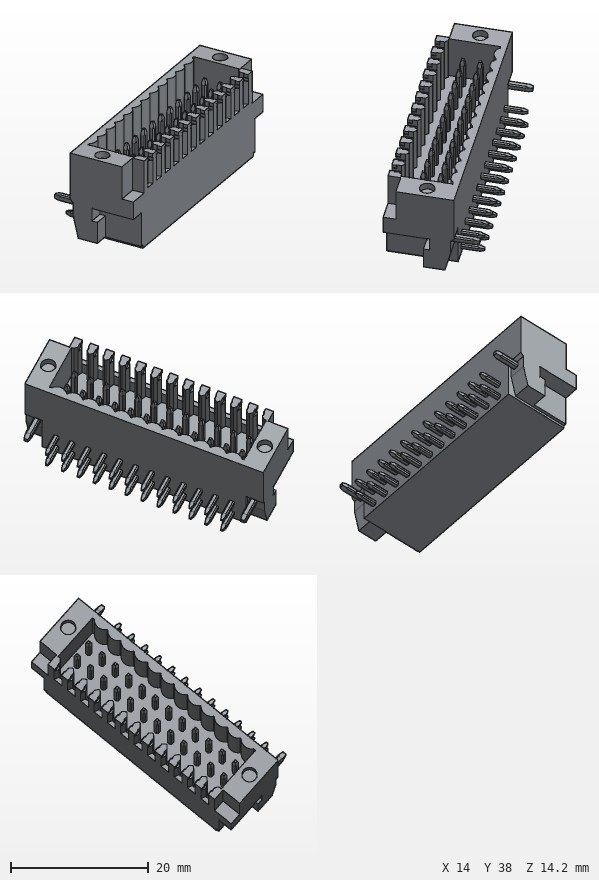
import cadquery as cq


length = 38.05
body_depth = 10.55
height = 14.2
half_length = length / 2
core_half = 16.25

columns = 12
column_span = 27.95
pitch = column_span / (columns - 1)
upper_row_z = 3.75
lower_row_z = upper_row_z - pitch
cavity_row_x = (3.65, 6.25)
pin_width = 0.85
pin_bevel = 0.2
pin_tip_width = 0.35
tip_length = 1.0
pin_reach = 3.45
cavity_pin_top = 12.05
pin_embed = 0.38

fixing_y = 17.27
post_z = 5.48
post_width = 1.0
post_tip_width = 0.57
hole_x = 4.37
hole_diameter = 2.2
hole_depth = 1.1

flange_bottom = 0.5
flange_relief = 0.5
relief_top = 6.58
relief_slope_top = 3.95
relief_foot_x = 1.35
undercut_x = 3.6
undercut_top = 6.0
undercut_half = 16.65
leg_x = 4.53
leg_top = relief_slope_top

notch_x = 8.65
notch_bottom = 8.9
notch_half = 15.85

cavity_floor = 7.1
cavity_half = 15.52
cavity_x_min = 1.0
cavity_x_max = 8.67
scallop_half = 1.18
scallop_rise = 0.57

slot_width = 1.5
slot_half = slot_width / 2
slot_bevel = 0.4
slot_inner_x = cavity_x_max + slot_bevel
sill_x = 9.8
sill_top = 9.32
rib_top = height - 1.15
rib_rise = 0.35
lip_rise = 0.1
lip_bottom = height - 0.6

column_y = [(i - (columns - 1) / 2) * pitch for i in range(columns)]


def box(x0, x1, y0, y1, z0, z1):
    """Axis-aligned box between two corners."""
    return cq.Workplane("XY").box(x1 - x0, y1 - y0, z1 - z0, centered=False).translate((x0, y0, z0))


def prism(points, z0, z1):
    """Vertical prism over a closed outline in X and Y."""
    return cq.Workplane("XY").workplane(offset=z0).polyline(points).close().extrude(z1 - z0)


def make_pin(width, tip_width, pin_length):
    """Square pin along +Z with bevelled long edges and a four-sided tapered tip."""
    shank_length = pin_length - tip_length
    shank = cq.Workplane("XY").rect(width, width).extrude(shank_length)
    tip = (
        cq.Workplane("XY").workplane(offset=shank_length).rect(width, width)
        .workplane(offset=tip_length).rect(tip_width, tip_width).loft(ruled=True)
    )
    bevelled = cq.Workplane("XY").rect(width, width).extrude(pin_length).edges("|Z").chamfer(pin_bevel)
    return shank.union(tip).intersect(bevelled)


def make_flange():
    """+Y end flange: set back from the board face and undercut on the +X side."""
    outline = [
        (0, height),
        (0, relief_top),
        (flange_relief, relief_top - flange_relief),
        (flange_relief, relief_slope_top),
        (relief_foot_x, flange_bottom),
        (leg_x, flange_bottom),
        (leg_x, leg_top),
        (undercut_x, leg_top),
        (undercut_x, undercut_top),
        (body_depth, undercut_top),
        (body_depth, height),
    ]
    flange = cq.Workplane("XZ").polyline(outline).close().extrude(core_half - half_length)
    return flange.translate((0, core_half, 0))


def make_housing():
    """Middle block with a flange, a notched corner and a blind hole at each end."""
    body = box(0, body_depth, -core_half, core_half, 0, height)
    undercut_wall = box(undercut_x, body_depth, -undercut_half, undercut_half, flange_bottom, undercut_top)
    body = body.union(undercut_wall)
    flange = make_flange()
    corner = box(notch_x, body_depth, notch_half, half_length, notch_bottom, height)
    hole = (
        cq.Workplane("XY").circle(hole_diameter / 2).extrude(hole_depth)
        .translate((hole_x, fixing_y, height - hole_depth))
    )
    body = body.union(flange).union(flange.mirror("XZ"))
    body = body.cut(corner).cut(corner.mirror("XZ"))
    body = body.cut(hole).cut(hole.mirror("XZ"))
    return body


def make_cavity():
    """Rectangular well whose -X wall bulges inward beside every contact column."""
    well = cq.Workplane("XY").workplane(offset=cavity_floor).moveTo(cavity_x_min, -cavity_half)
    for y in column_y:
        well = well.lineTo(cavity_x_min, y - scallop_half)
        well = well.threePointArc((cavity_x_min + scallop_rise, y), (cavity_x_min, y + scallop_half))
    well = well.lineTo(cavity_x_min, cavity_half).lineTo(cavity_x_max, cavity_half)
    return well.lineTo(cavity_x_max, -cavity_half).close().extrude(height - cavity_floor)


def make_slot():
    """Void of one keying slot, centred on Y = 0: wide at the top, waisted below rib_top."""
    mouth_half = slot_half + slot_bevel
    waist_half = slot_half - rib_rise
    lip_half = slot_half - lip_rise

    upper = prism(
        [
            (cavity_x_max, -mouth_half), (slot_inner_x, -slot_half), (body_depth, -slot_half),
            (body_depth, slot_half), (slot_inner_x, slot_half), (cavity_x_max, mouth_half),
        ],
        rib_top, height,
    )
    for side in (-1, 1):
        y_low, y_high = sorted((side * lip_half, side * slot_half))
        upper = upper.cut(box(sill_x, body_depth, y_low, y_high, lip_bottom, height))

    inner = prism(
        [
            (cavity_x_max, -mouth_half), (slot_inner_x, -slot_half), (sill_x, -waist_half),
            (sill_x, waist_half), (slot_inner_x, slot_half), (cavity_x_max, mouth_half),
        ],
        cavity_floor, rib_top,
    )
    outer = prism(
        [
            (sill_x, -waist_half), (body_depth, -slot_half),
            (body_depth, slot_half), (sill_x, waist_half),
        ],
        sill_top, rib_top,
    )
    return upper.union(inner).union(outer)


result = make_housing().cut(make_cavity())

slot = make_slot()
for y in column_y:
    result = result.cut(slot.translate((0, y, 0)))

cavity_pin = make_pin(pin_width, pin_tip_width, cavity_pin_top - cavity_floor + pin_embed)
tail_pin = make_pin(pin_width, pin_tip_width, pin_reach + pin_embed).rotate((0, 0, 0), (0, 1, 0), -90)
for y in column_y:
    for x in cavity_row_x:
        result = result.union(cavity_pin.translate((x, y, cavity_floor - pin_embed)))
    for z in (lower_row_z, upper_row_z):
        result = result.union(tail_pin.translate((pin_embed, y, z)))

post_root_x = flange_relief + pin_embed
post = make_pin(post_width, post_tip_width, pin_reach + post_root_x).rotate((0, 0, 0), (0, 1, 0), -90)
for side in (-1, 1):
    result = result.union(post.translate((post_root_x, side * fixing_y, post_z)))